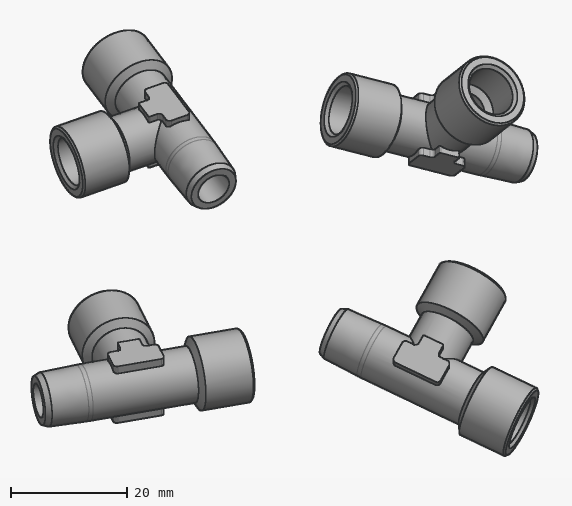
import cadquery as cq
import math

body_radius = 10 / 2
bore_radius = 6.0 / 2

socket_reach = 19.5
socket_radius = 13.0 / 2
socket_length = 8.85
shoulder_length = 0.9
rim_chamfer = 0.35
mouth_radius = 9.75 / 2
socket_bore_radius = 8.6 / 2
socket_bore_depth = 7.4
drill_half_angle = math.radians(59)

male_reach = 37 - socket_reach
relief_start = 9.18
taper_start = 9.95
tip_chamfer_length = 1.07
tip_radius = 4.33
taper_end = male_reach - tip_chamfer_length
taper_end_radius = 4.77
taper_slope = 1 / 32
taper_start_radius = taper_end_radius + taper_slope * (taper_end - taper_start)

pad_half_width = 4.55
pad_half_depth = 2.22
pad_stem_half_width = 1.95
pad_stem_end = 4.55
pad_half_height = 6.0
pad_corner_radius = 0.65
pad_stem_corner_radius = 0.22


def revolve_about_x(points):
    """Revolve a closed (axial position, radius) profile about the X axis."""
    return cq.Workplane("XY").polyline(points).close().revolve(360, (0, 0, 0), (1, 0, 0))


def socket_arm():
    """Solid arm from the origin to a socket face on the -X side."""
    shoulder_start = -socket_reach + socket_length
    shoulder_end = shoulder_start + shoulder_length
    return revolve_about_x([
        (0, 0),
        (-socket_reach, 0),
        (-socket_reach, socket_radius - rim_chamfer),
        (-socket_reach + rim_chamfer, socket_radius),
        (shoulder_start, socket_radius),
        (shoulder_end, body_radius),
        (0, body_radius),
    ])


def socket_cavity():
    """Countersunk socket bore with a drill-point floor and the passage to the origin."""
    mouth_depth = mouth_radius - socket_bore_radius
    floor = -socket_reach + socket_bore_depth
    cone_length = (socket_bore_radius - bore_radius) / math.tan(drill_half_angle)
    return revolve_about_x([
        (0, 0),
        (-socket_reach, 0),
        (-socket_reach, mouth_radius),
        (-socket_reach + mouth_depth, socket_bore_radius),
        (floor, socket_bore_radius),
        (floor + cone_length, bore_radius),
        (0, bore_radius),
    ])


def male_arm():
    """Solid arm from the origin to the chamfered tapered end on the +X side."""
    return revolve_about_x([
        (0, 0),
        (0, body_radius),
        (relief_start, body_radius),
        (taper_start, taper_start_radius),
        (taper_end, taper_end_radius),
        (male_reach, tip_radius),
        (male_reach, 0),
    ])


def flats():
    """T-shaped block whose top and bottom faces stand proud of the tubes."""
    height = 2 * pad_half_height
    bar = cq.Workplane("XY").box(2 * pad_half_width, 2 * pad_half_depth, height)
    stem = (
        cq.Workplane("XY")
        .box(2 * pad_stem_half_width, pad_stem_end, height)
        .translate((0, -pad_stem_end / 2, 0))
        .edges("|Z and <Y")
        .fillet(pad_stem_corner_radius)
    )
    inner_corners = cq.selectors.BoxSelector(
        (-pad_stem_half_width - 0.37, -pad_half_depth - 0.37, -height),
        (pad_stem_half_width + 0.37, -pad_half_depth + 0.37, height),
    )
    return (
        bar.edges("|Z")
        .fillet(pad_corner_radius)
        .union(stem)
        .edges("|Z")
        .edges(inner_corners)
        .fillet(pad_corner_radius)
    )


def to_branch(shape):
    """Turn a -X arm to point along -Y."""
    return shape.rotate((0, 0, 0), (0, 0, 1), 90)


outside = socket_arm().union(male_arm()).union(to_branch(socket_arm())).union(flats())
male_passage = cq.Workplane("YZ").circle(bore_radius).extrude(male_reach)

result = (
    outside.cut(socket_cavity())
    .cut(to_branch(socket_cavity()))
    .cut(male_passage)
)